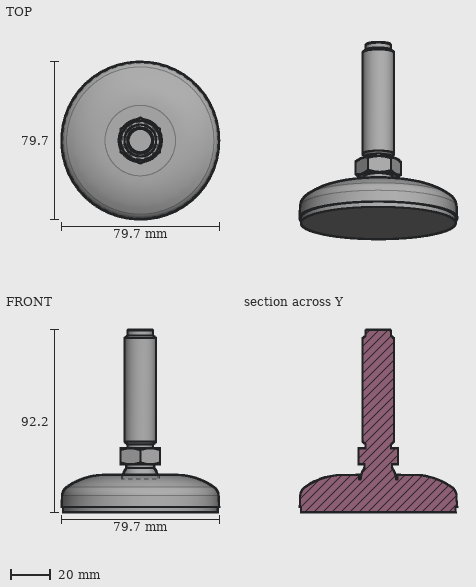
import cadquery as cq
import math


total_height = 92.2
rim_z = 2.7
shoulder_z = 8.5
dome_edge_z = 12.8
base_top_z = 19.1
neck_z = 22.3
hex_bottom_z = 24.25
hex_top_z = 32.5
relief_top_z = 34.4

band_radius = 78.2 / 2
rim_radius = 79.7 / 2
shoulder_radius = 39.55
dome_edge_radius = 37.2
top_flat_radius = 17.8

ball_radius = 9.0
ring_radius = 10.9
socket_radius = 9.6
ring_recess = 0.1

neck_radius = 14.3 / 2
relief_radius = 13.0 / 2
thread_radius = 16.0 / 2
thread_chamfer = 1.3
pin_length = 3.0
pin_chamfer = 0.55

hex_across_flats = 20.0
hex_across_corners = hex_across_flats / math.cos(math.radians(30))
hex_face_radius = 19.8 / 2
hex_chamfer_angle = math.radians(30)
hex_turn = 30

ball_center_z = neck_z - math.sqrt(ball_radius**2 - neck_radius**2)


def make_base():
    """Base disc with a tapered side, a rounded shoulder tangent to it, and a shallow dome."""
    dome_run = dome_edge_radius - top_flat_radius
    dome_drop = base_top_z - dome_edge_z
    dome_arc_radius = (dome_run**2 + dome_drop**2) / (2 * dome_drop)
    half_angle = math.asin(dome_run / dome_arc_radius) / 2
    dome_mid = (
        top_flat_radius + dome_arc_radius * math.sin(half_angle),
        base_top_z - dome_arc_radius * (1 - math.cos(half_angle)),
    )
    profile = (
        cq.Workplane("XZ")
        .lineTo(band_radius, 0)
        .lineTo(band_radius, rim_z)
        .lineTo(rim_radius, rim_z)
        .lineTo(shoulder_radius, shoulder_z)
        .tangentArcPoint((dome_edge_radius, dome_edge_z), relative=False)
        .threePointArc(dome_mid, (top_flat_radius, base_top_z))
        .lineTo(0, base_top_z)
        .close()
    )
    return profile.revolve(360, (0, 0), (0, 1))


def cut_socket(base):
    """Ring seat around the ball, and the socket down to the ball centre."""
    ring = (
        cq.Workplane("XY")
        .workplane(offset=base_top_z - ring_recess)
        .circle(ring_radius)
        .extrude(ring_recess)
    )
    socket = (
        cq.Workplane("XY")
        .workplane(offset=ball_center_z)
        .circle(socket_radius)
        .extrude(base_top_z - ball_center_z)
    )
    return base.cut(ring).cut(socket)


def make_stud():
    """Neck, relief groove, plain thread cylinder and end pin in one turned profile."""
    thread_end_z = total_height - pin_length
    profile = (
        cq.Workplane("XZ")
        .moveTo(0, ball_center_z)
        .lineTo(neck_radius, ball_center_z)
        .lineTo(neck_radius, hex_bottom_z)
        .lineTo(relief_radius, hex_bottom_z)
        .lineTo(relief_radius, relief_top_z)
        .lineTo(thread_radius, relief_top_z + thread_chamfer)
        .lineTo(thread_radius, thread_end_z - thread_chamfer)
        .lineTo(relief_radius, thread_end_z)
        .lineTo(relief_radius, total_height - pin_chamfer)
        .lineTo(relief_radius - pin_chamfer, total_height)
        .lineTo(0, total_height)
        .close()
    )
    return profile.revolve(360, (0, 0), (0, 1))


def make_hexagon():
    """Hexagon with corners on Y, its corners chamfered at both ends."""
    corner_radius = hex_across_corners / 2
    corner_drop = (corner_radius - hex_face_radius) * math.tan(hex_chamfer_angle)
    prism = (
        cq.Workplane("XY")
        .workplane(offset=hex_bottom_z)
        .polygon(6, hex_across_corners)
        .extrude(hex_top_z - hex_bottom_z)
        .rotate((0, 0, 0), (0, 0, 1), hex_turn)
    )
    chamfer_envelope = (
        cq.Workplane("XZ")
        .moveTo(0, hex_bottom_z)
        .lineTo(hex_face_radius, hex_bottom_z)
        .lineTo(corner_radius, hex_bottom_z + corner_drop)
        .lineTo(corner_radius, hex_top_z - corner_drop)
        .lineTo(hex_face_radius, hex_top_z)
        .lineTo(0, hex_top_z)
        .close()
        .revolve(360, (0, 0), (0, 1))
    )
    return prism.intersect(chamfer_envelope)


ball = cq.Workplane("XY").sphere(ball_radius).translate((0, 0, ball_center_z))

result = cut_socket(make_base()).union(ball).union(make_stud()).union(make_hexagon())